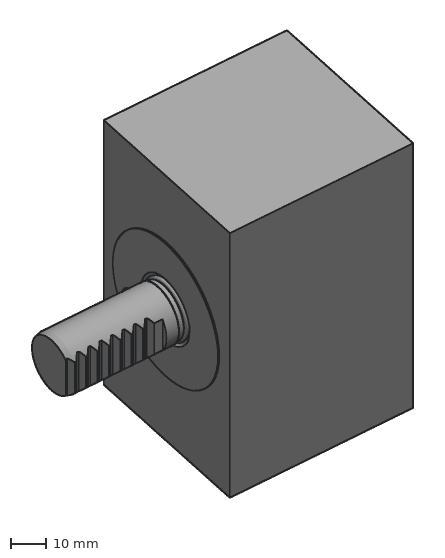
import cadquery as cq
import math


block_width = 60.0
block_height = 100.0
flange_depth = 65.0
disc_diameter = 50.0
disc_step = 0.5

shank_radius = 10.0
shank_length = 40.0
neck_radius = 9.7
neck_length = 2.5
tip_chamfer_length = 2.0
tip_chamfer_depth = 0.55

rack_crest_x = 8.1
rack_root_x = 6.6
rack_start = 7.0
tooth_pitch = 4.0
tooth_gap_count = 8
first_gap_distance = 11.7
gap_root_width = 0.7
gap_flank_run = 1.4

groove_diameter = 2.1
groove_ring_radius = 10.45
seal_diameter = 1.7
seal_ring_radius = 19.1 / 2
seal_inset = 0.4

pin_hole_diameter = 10.0
pin_hole_depth = 10.0
pin_circle_radius = 18.0
pin_angle = math.radians(210)
drill_point_angle = math.radians(118)


def make_flange():
    block_depth = flange_depth - disc_step
    block = cq.Workplane("XY").box(block_width, block_depth, block_height)
    block = block.translate((0, disc_step + block_depth / 2, 0))
    disc = cq.Workplane("XZ").circle(disc_diameter / 2).extrude(-flange_depth / 2)
    return block.union(disc)


def make_shank():
    """Revolved shank that starts inside the block, so that it fuses with it."""
    buried_length = flange_depth / 2
    profile = (
        cq.Workplane("XY")
        .moveTo(0, buried_length)
        .lineTo(neck_radius, buried_length)
        .lineTo(neck_radius, -neck_length)
        .lineTo(shank_radius, -neck_length)
        .lineTo(shank_radius, tip_chamfer_length - shank_length)
        .lineTo(shank_radius - tip_chamfer_depth, -shank_length)
        .lineTo(0, -shank_length)
        .close()
    )
    return profile.revolve(360, (0, 0, 0), (0, 1, 0))


def make_rack_cut():
    """Flat on the +X side of the shank with trapezoidal tooth gaps cut into it."""
    flat_length = shank_length - rack_start
    outer_x = 2 * shank_radius
    cut = (
        cq.Workplane("XY")
        .box(outer_x, flat_length, outer_x)
        .translate((rack_crest_x + outer_x / 2, -rack_start - flat_length / 2, 0))
    )
    half_root = gap_root_width / 2
    half_mouth = half_root + gap_flank_run
    for index in range(tooth_gap_count):
        gap_y = -first_gap_distance - index * tooth_pitch
        gap = (
            cq.Workplane("XY")
            .moveTo(rack_crest_x, gap_y + half_mouth)
            .lineTo(rack_root_x, gap_y + half_root)
            .lineTo(rack_root_x, gap_y - half_root)
            .lineTo(rack_crest_x, gap_y - half_mouth)
            .close()
            .extrude(shank_radius, both=True)
        )
        cut = cut.union(gap)
    return cut


def make_ring(ring_radius, section_diameter, y):
    """Torus around the Y axis."""
    section = cq.Workplane("XY").center(ring_radius, y).circle(section_diameter / 2)
    return section.revolve(360, (-ring_radius, 0, 0), (-ring_radius, 1, 0))


def make_pin_hole():
    """Drilled hole; its axis is offset from the shank axis on the pin circle."""
    radius = pin_hole_diameter / 2
    tip_length = radius / math.tan(drill_point_angle / 2)
    profile = (
        cq.Workplane("XY")
        .lineTo(radius, 0)
        .lineTo(radius, pin_hole_depth)
        .lineTo(0, pin_hole_depth + tip_length)
        .close()
    )
    hole = profile.revolve(360, (0, 0, 0), (0, 1, 0))
    hole_x = pin_circle_radius * math.cos(pin_angle)
    hole_z = pin_circle_radius * math.sin(pin_angle)
    return hole.translate((hole_x, 0, hole_z))


body = make_flange().union(make_shank().cut(make_rack_cut()))
body = body.cut(make_ring(groove_ring_radius, groove_diameter, 0))
body = body.union(make_ring(seal_ring_radius, seal_diameter, seal_inset))
result = body.cut(make_pin_hole())